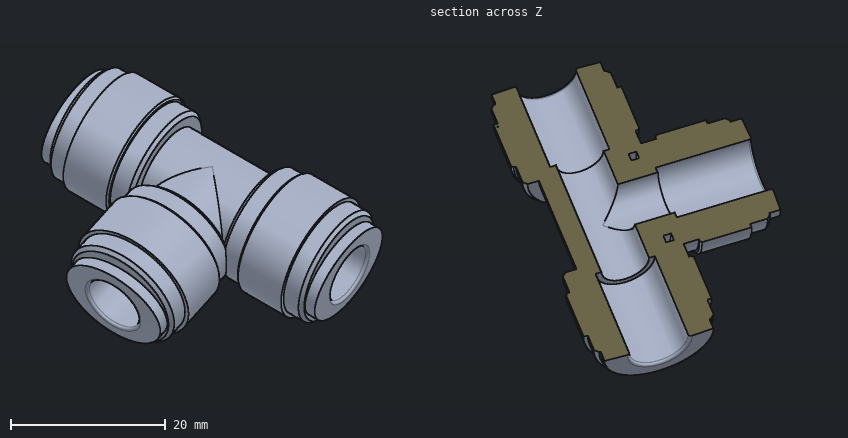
import cadquery as cq

end_reach = 21.9
collet_rim_drop = 0.15
body_outer_end = 20.25
collar_outer_end = 17.35
collar_inner_end = 10.25
body_inner_end = 7.2
socket_floor = 8.75

tube_radius = 6.18
body_radius = 8.25
collar_radius = 8.8
collet_long_radius = 7.5
collet_short_radius = 6.05
socket_radius = 4.05
bore_radius = 3.25

body_chamfer = 0.53
collar_chamfer = 0.25
mouth_fillet = 0.4


def cylinder(radius, start, end):
    """Round bar along +Z between two axial positions."""
    return cq.Workplane("XY").workplane(offset=start).circle(radius).extrude(end - start)


def make_collet():
    """Elliptical release collet whose outer face slopes gently back toward its rim."""
    blank = (
        cq.Workplane("XY")
        .workplane(offset=socket_floor)
        .ellipse(collet_long_radius, collet_short_radius)
        .extrude(end_reach - socket_floor)
    )
    mouth_radius = socket_radius + mouth_fillet
    cone = (
        cq.Workplane("XZ")
        .moveTo(0, socket_floor)
        .lineTo(collet_long_radius, socket_floor)
        .lineTo(collet_long_radius, end_reach - collet_rim_drop)
        .lineTo(mouth_radius, end_reach)
        .lineTo(0, end_reach)
        .close()
        .revolve(360, (0, 0, 0), (0, 1, 0))
    )
    return blank.intersect(cone)


def make_fitting():
    """One solid end along +Z: tube, chamfered body, collar and collet."""
    tube = cylinder(tube_radius, 0, body_outer_end)
    body = cylinder(body_radius, body_inner_end, body_outer_end).edges().chamfer(body_chamfer)
    collar = cylinder(collar_radius, collar_inner_end, collar_outer_end)
    collar = collar.edges("<Z").chamfer(collar_chamfer)
    return tube.union(body).union(collar).union(make_collet())


def make_passage():
    """Bore, tube socket and rounded mouth of one end along +Z."""
    passage = (
        cq.Workplane("XZ")
        .lineTo(bore_radius, 0)
        .lineTo(bore_radius, socket_floor)
        .lineTo(socket_radius, socket_floor)
        .lineTo(socket_radius, end_reach - mouth_fillet)
        .radiusArc((socket_radius + mouth_fillet, end_reach), mouth_fillet)
        .lineTo(0, end_reach)
        .close()
    )
    return passage.revolve(360, (0, 0, 0), (0, 1, 0))


def to_branch(end):
    """Turn an end from +Z to -Y, keeping the collet's long axis along X."""
    return end.rotate((0, 0, 0), (1, 0, 0), 90)


def place_three(end):
    """Join copies of an end along -X, -Y and +X, with every collet wide in the XY plane."""
    branch = to_branch(end)
    joined = branch
    for turn in (-90, 90):
        joined = joined.union(branch.rotate((0, 0, 0), (0, 0, 1), turn))
    return joined


result = place_three(make_fitting()).cut(place_three(make_passage()))